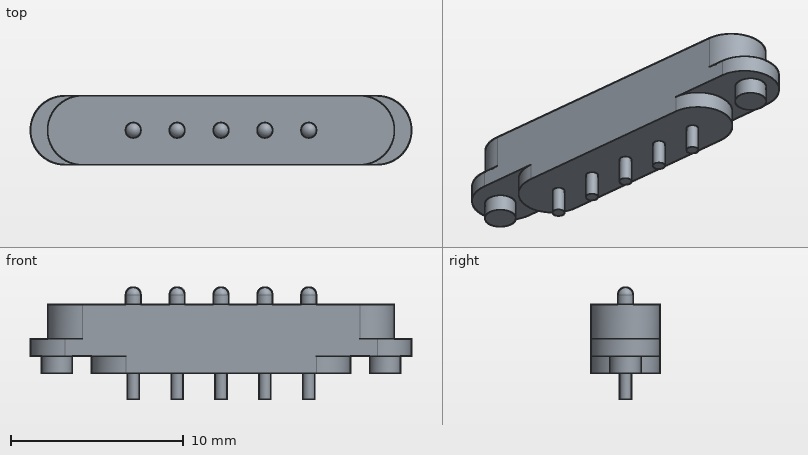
import cadquery as cq

pin_count = 5
pin_pitch = 2.54
contact_diameter = 0.9
contact_height = 1.0
tail_diameter = 0.7
tail_length = 1.5

housing_width = 4.0
foot_length = 15.0
foot_height = 1.0
flange_length = 22.08
flange_height = 1.0
body_length = 20.08
body_height = 2.0

peg_diameter = 1.8
peg_spacing = 19.0

flange_bottom = foot_height
body_bottom = flange_bottom + flange_height
housing_top = body_bottom + body_height


def slot_layer(length, bottom, height):
    """Plate with fully rounded ends, lying along X."""
    return cq.Workplane("XY", origin=(0, 0, bottom)).slot2D(length, housing_width).extrude(height)


def cylinder(x, diameter, bottom, top):
    """Upright cylinder on the centreline of the housing."""
    return cq.Workplane("XY", origin=(x, 0, bottom)).circle(diameter / 2).extrude(top - bottom)


def make_housing():
    foot = slot_layer(foot_length, 0, foot_height)
    flange = slot_layer(flange_length, flange_bottom, flange_height)
    body = slot_layer(body_length, body_bottom, body_height)
    return foot.union(flange).union(body)


def make_contact(x):
    """Upper contact: a short cylinder ending in a hemisphere."""
    dome_radius = contact_diameter / 2
    dome_base = housing_top + contact_height - dome_radius
    shank = cylinder(x, contact_diameter, housing_top, dome_base)
    dome = cq.Workplane("XY", origin=(x, 0, dome_base)).sphere(dome_radius)
    return shank.union(dome)


def make_tail(x):
    return cylinder(x, tail_diameter, -tail_length, 0)


result = make_housing()

for side in (-1, 1):
    result = result.union(cylinder(side * peg_spacing / 2, peg_diameter, 0, flange_bottom))

for index in range(pin_count):
    pin_x = (index - (pin_count - 1) / 2) * pin_pitch
    result = result.union(make_contact(pin_x)).union(make_tail(pin_x))